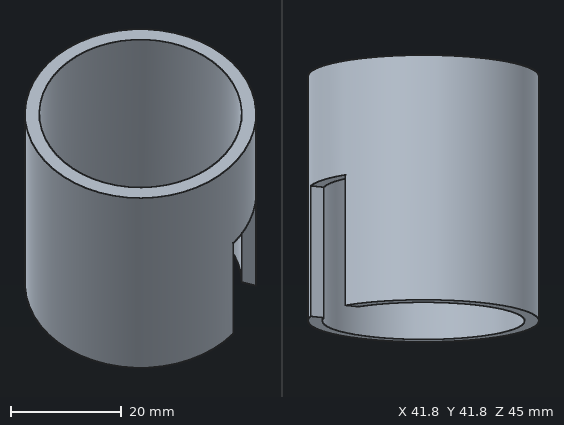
import cadquery as cq

height = 45.0
outer_diameter = 41.8
inner_diameter = 36.6
slot_width = 12.5
slot_height = 24.0

outer_radius = outer_diameter / 2
inner_radius = inner_diameter / 2

tube = cq.Workplane("XY").circle(outer_radius).circle(inner_radius).extrude(height)

slot_cutter = cq.Workplane("XY").box(
    outer_radius, slot_width, slot_height, centered=(False, True, False)
)

result = tube.cut(slot_cutter)